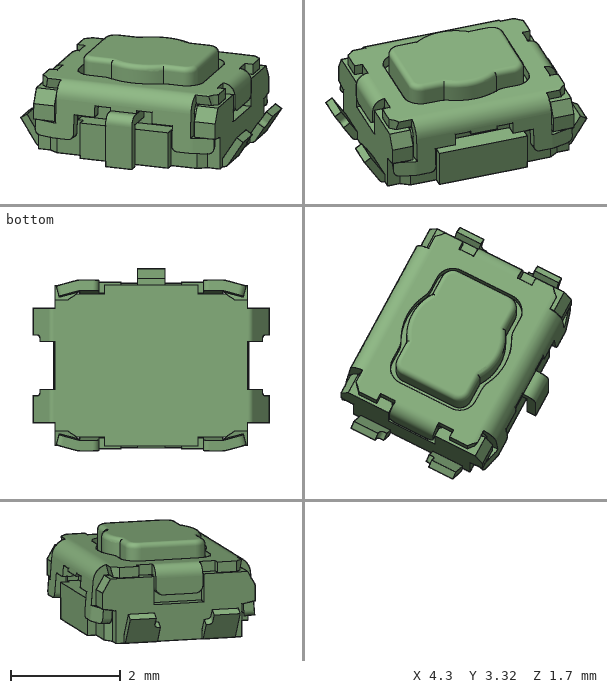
import cadquery as cq
import math

LENGTH_X = 4.3
COVER_TOP = 1.398
CAP_TOP = 1.7
SHEET = 0.195

EDGE_MARGIN = 0.045

BODY_HALF_X = 1.755
BODY_TOP = COVER_TOP - SHEET
WALL_HALF_Y = 1.305
POST_HALF_Y = 1.455
POST_INNER_X = 1.355
POST_BOTTOM = 0.65
POST_CHAMFER_BOTTOM = 0.945
WALL_CHAMFER_BOTTOM = 1.045
WALL_CHAMFER_DEPTH = 0.085
CORNER_CUT_X = 1.52
CORNER_CUT_Y = 1.195
CORNER_CUT_TOP = 0.605
PANEL_HALF_X = 0.85
PANEL_HALF_Y = 1.465
PANEL_TOP = 0.68
RECESS_HALF_Y = 0.475
RECESS_FLOOR_X = 1.555
RECESS_BOTTOM = 0.685
RECESS_FLARE_X = 0.047
RECESS_FLARE_Y = 0.035
POCKET_INNER_Y = 1.095

COVER_HALF_X = 1.7
COVER_CORNER_Y = 1.245
COVER_CORNER_START_Y = 1.115
COVER_CORNER_MIDDLE_X = 1.625
COVER_CORNER_END_X = 1.555
SKIRT_HALF_X = 1.305
SKIRT_HALF_Y = 1.555
SKIRT_BOTTOM = 0.365
SKIRT_TILT = 4.7
SKIRT_BEND_RADIUS = 0.325
SKIRT_CORNER_RADIUS = 0.108
NOTCH_HALF_X = 0.95
NOTCH_TOP = 0.84
UPPER_NOTCH_HALF_X = 0.555
UPPER_NOTCH_TOP = 1.05
TONGUE_BOTTOM = 0.995
WING_ANGLE = 15.0
WING_BEND_RADIUS = 0.225
WING_LENGTH = 0.383
WING_TOP = 0.65
TAB_HALF_X = 1.775
TAB_HALF_Y = 0.447
TAB_BOTTOM = 0.86
TAB_BEND_RADIUS = 0.23
TAB_CORNER_RADIUS = 0.14
SIDE_NOTCH_X = TAB_HALF_X - TAB_BEND_RADIUS
SIDE_NOTCH_HALF_Y = 0.75

CAP_HALF_X = 1.1
CAP_HALF_Y = 0.75
CAP_CORNER_RADIUS = 0.225
CAP_BULGE_RADIUS = 0.905
CAP_EDGE_FILLET = 0.1
OPENING_GAP = 0.105
OPENING_BLEND_RADIUS = 0.345

LEG_SHEET = 0.145
LEG_ANGLE = 57.5
LEG_TIP_Z = 0.507
LEG_OUTER_Y = 1.045
LEG_INNER_Y = 0.55
FOOT_INNER_Y = 0.435
FOOT_BEND_RADIUS = 0.108
FOOT_STEP_LENGTH = 0.232
FOOT_STEP_RADIUS = 0.077
PIN_HALF_X = 0.255
PIN_OUTER_Y = 1.765
PIN_TOP = 0.985
PIN_SHEET = 0.18


def box(x0, x1, y0, y1, z0, z1):
    """Box between two opposite corners."""
    return cq.Workplane("XY").box(x1 - x0, y1 - y0, z1 - z0, centered=False).translate((x0, y0, z0))


def centred_box(half_x, half_y, z0, z1):
    """Box centred on the Z axis."""
    return box(-half_x, half_x, -half_y, half_y, z0, z1)


def along_x(outline, x0, x1):
    """Extrude a closed (y, z) wire from x0 to x1."""
    return outline.extrude(x1 - x0).translate((x0, 0, 0))


def with_mirror(solid, plane):
    return solid.union(solid.mirror(plane))


def corner_post():
    """Post at the +X +Y corner, bevelled on top and sloping underneath."""
    outline = cq.Workplane("YZ").polyline([
        (0, CORNER_CUT_TOP),
        (CORNER_CUT_Y, CORNER_CUT_TOP),
        (POST_HALF_Y, POST_BOTTOM),
        (POST_HALF_Y, POST_CHAMFER_BOTTOM),
        (WALL_HALF_Y, BODY_TOP),
        (0, BODY_TOP),
    ]).close()
    return along_x(outline, POST_INNER_X, BODY_HALF_X)


def make_body():
    plan = [
        (0, 0),
        (BODY_HALF_X, 0),
        (BODY_HALF_X, CORNER_CUT_Y),
        (CORNER_CUT_X, CORNER_CUT_Y),
        (POST_INNER_X, WALL_HALF_Y),
        (0, WALL_HALF_Y),
    ]
    core = cq.Workplane("XY").polyline(plan).close().extrude(BODY_TOP)
    wall_bevel = cq.Workplane("YZ").polyline([
        (WALL_HALF_Y, WALL_CHAMFER_BOTTOM),
        (WALL_HALF_Y, BODY_TOP),
        (WALL_HALF_Y - WALL_CHAMFER_DEPTH, BODY_TOP),
    ]).close()
    core = core.cut(along_x(wall_bevel, 0, POST_INNER_X))
    quarter = core.union(corner_post())
    body = with_mirror(with_mirror(quarter, "YZ"), "XZ")
    body = body.union(centred_box(PANEL_HALF_X, PANEL_HALF_Y, 0, PANEL_TOP))
    recess = box(RECESS_FLOOR_X, BODY_HALF_X, -RECESS_HALF_Y, RECESS_HALF_Y, RECESS_BOTTOM, BODY_TOP)
    flare = cq.Workplane("XY").workplane(offset=RECESS_BOTTOM).polyline([
        (RECESS_FLOOR_X + RECESS_FLARE_X, -RECESS_HALF_Y),
        (RECESS_FLOOR_X, -RECESS_HALF_Y - RECESS_FLARE_Y),
        (RECESS_FLOOR_X, RECESS_HALF_Y + RECESS_FLARE_Y),
        (RECESS_FLOOR_X + RECESS_FLARE_X, RECESS_HALF_Y),
    ]).close().extrude(BODY_TOP - RECESS_BOTTOM)
    pocket = box(-NOTCH_HALF_X, NOTCH_HALF_X, POCKET_INNER_Y, WALL_HALF_Y, PANEL_TOP, BODY_TOP)
    body = body.cut(with_mirror(pocket, "XZ"))
    return body.cut(with_mirror(recess.union(flare), "YZ"))


def bend_centre(outer, bottom, tilt, bend_radius):
    """Centre of a bend that runs tangent into a leaning sheet ending at (outer, bottom)."""
    lean = math.radians(tilt)
    centre_z = COVER_TOP - bend_radius
    centre = outer + ((bottom - centre_z) * math.sin(lean) - bend_radius) / math.cos(lean)
    return centre, centre_z


def bent_sheet(plane, outer, bottom, tilt, bend_radius):
    """Half section of the sheet: flat on top, bent down to the point (outer, bottom)."""
    lean = math.radians(tilt)
    normal = (math.cos(lean), math.sin(lean))
    centre, centre_z = bend_centre(outer, bottom, tilt, bend_radius)
    inner_radius = bend_radius - SHEET
    half_bend = (math.pi / 2 + lean) / 2

    def on_bend(radius, angle):
        return (centre + radius * math.cos(angle), centre_z + radius * math.sin(angle))

    return (
        cq.Workplane(plane)
        .moveTo(0, COVER_TOP)
        .lineTo(centre, COVER_TOP)
        .threePointArc(on_bend(bend_radius, lean + half_bend), on_bend(bend_radius, lean))
        .lineTo(outer, bottom)
        .lineTo(outer - SHEET * normal[0], bottom - SHEET * normal[1])
        .lineTo(*on_bend(inner_radius, lean))
        .threePointArc(on_bend(inner_radius, lean + half_bend), (centre, BODY_TOP))
        .lineTo(0, BODY_TOP)
        .close()
    )


def skirt_profile():
    return bent_sheet("YZ", SKIRT_HALF_Y, SKIRT_BOTTOM, SKIRT_TILT, SKIRT_BEND_RADIUS)


def flat_top_limits():
    """Space of the +Y half of the flat top, with bevelled corners.

    Beside the skirt the sheet ends part-way round the bend, square to its surface.
    """
    centre_y, centre_z = bend_centre(SKIRT_HALF_Y, SKIRT_BOTTOM, SKIRT_TILT, SKIRT_BEND_RADIUS)
    half_plan = [
        (0, 0),
        (COVER_HALF_X, 0),
        (COVER_HALF_X, COVER_CORNER_START_Y),
        (COVER_CORNER_MIDDLE_X, centre_y),
        (COVER_CORNER_END_X, COVER_CORNER_Y),
        (0, COVER_CORNER_Y),
    ]
    plan = cq.Workplane("XY").polyline(half_plan).close().extrude(COVER_TOP)
    end_y = COVER_CORNER_Y - centre_y
    end_z = math.sqrt(SKIRT_BEND_RADIUS ** 2 - end_y ** 2)
    reach = SKIRT_BEND_RADIUS / end_z
    up_to_bend = cq.Workplane("YZ").polyline([
        (0, centre_z),
        (centre_y, centre_z),
        (centre_y + reach * end_y, COVER_TOP),
        (0, COVER_TOP),
    ]).close()
    return with_mirror(plan.intersect(along_x(up_to_bend, 0, COVER_HALF_X)), "YZ")


def long_side():
    """+Y half of the flat top with its skirt, notched along the lower edge."""
    sheet = along_x(skirt_profile(), -COVER_HALF_X, COVER_HALF_X)
    skirt_limits = centred_box(SKIRT_HALF_X, SKIRT_HALF_Y, 0, COVER_TOP)
    notch = centred_box(NOTCH_HALF_X, SKIRT_HALF_Y, 0, NOTCH_TOP)
    upper_notch = centred_box(UPPER_NOTCH_HALF_X, SKIRT_HALF_Y, 0, UPPER_NOTCH_TOP)
    tongue = centred_box(PIN_HALF_X, SKIRT_HALF_Y, TONGUE_BOTTOM, COVER_TOP)
    side = sheet.intersect(flat_top_limits().union(skirt_limits))
    side = side.cut(notch).cut(upper_notch.cut(tongue))
    foot_corners = cq.selectors.BoxSelector(
        (-NOTCH_HALF_X - EDGE_MARGIN, 0, 0),
        (NOTCH_HALF_X + EDGE_MARGIN, SKIRT_HALF_Y, SKIRT_BOTTOM + EDGE_MARGIN),
    )
    return side.edges(foot_corners).fillet(SKIRT_CORNER_RADIUS)


def wing():
    """Lower flap of the skirt at the +X +Y corner, folded in around the body."""
    lean = math.radians(SKIRT_TILT)
    height = WING_TOP - SKIRT_BOTTOM
    outer_top = (SKIRT_HALF_Y - height * math.tan(lean), WING_TOP)
    inward = (-SHEET * math.cos(lean), -SHEET * math.sin(lean))
    section = [
        (SKIRT_HALF_Y, SKIRT_BOTTOM),
        outer_top,
        (outer_top[0] + inward[0], outer_top[1] + inward[1]),
        (SKIRT_HALF_Y + inward[0], SKIRT_BOTTOM + inward[1]),
    ]
    fold_y = SKIRT_HALF_Y - WING_BEND_RADIUS
    fold = cq.Workplane("YZ").polyline(section).close()
    fold = fold.revolve(WING_ANGLE, (fold_y, 0.045, 0), (fold_y, 0, 0)).translate((SKIRT_HALF_X, 0, 0))
    flap = along_x(cq.Workplane("YZ").polyline(section).close(), SKIRT_HALF_X, SKIRT_HALF_X + WING_LENGTH)
    flap = flap.faces(">X").edges("<Z").fillet(SKIRT_CORNER_RADIUS)
    flap = flap.rotate((SKIRT_HALF_X, fold_y, 0), (SKIRT_HALF_X, fold_y, 1), -WING_ANGLE)
    return fold.union(flap)


def side_tab():
    """Tab of the +X side, with the bend and the rounded lower corners."""
    profile = bent_sheet("XZ", TAB_HALF_X, TAB_BOTTOM, 0, TAB_BEND_RADIUS)
    tab = profile.extrude(TAB_HALF_Y, both=True)
    tab = tab.intersect(box(SIDE_NOTCH_X, TAB_HALF_X, -TAB_HALF_Y, TAB_HALF_Y, 0, COVER_TOP))
    return tab.faces("<Z").edges("|X").fillet(TAB_CORNER_RADIUS)


def make_cover():
    cover = with_mirror(long_side(), "XZ")
    side_notch = box(
        SIDE_NOTCH_X, TAB_HALF_X, -SIDE_NOTCH_HALF_Y, SIDE_NOTCH_HALF_Y, BODY_TOP, COVER_TOP
    )
    cover = cover.cut(with_mirror(side_notch, "YZ"))
    cover = cover.union(with_mirror(side_tab(), "YZ"))
    cover = cover.union(with_mirror(with_mirror(wing(), "YZ"), "XZ"))
    return cover.cut(button_opening())


def button_block(offset, bottom, top):
    """Rounded block with a round bulge on both long sides, grown by offset."""
    height = top - bottom
    block = centred_box(CAP_HALF_X + offset, CAP_HALF_Y + offset, bottom, top)
    block = block.edges("|Z").fillet(CAP_CORNER_RADIUS + offset)
    bulge = cq.Workplane("XY").workplane(offset=bottom).circle(CAP_BULGE_RADIUS + offset).extrude(height)
    return block.union(bulge)


def button_opening():
    opening = button_block(OPENING_GAP, BODY_TOP, COVER_TOP)
    half_y = CAP_HALF_Y + OPENING_GAP
    bulge_edge_x = math.sqrt((CAP_BULGE_RADIUS + OPENING_GAP) ** 2 - half_y ** 2)
    reentrant = cq.selectors.BoxSelector(
        (-bulge_edge_x - EDGE_MARGIN, -half_y - EDGE_MARGIN, 0),
        (bulge_edge_x + EDGE_MARGIN, half_y + EDGE_MARGIN, COVER_TOP),
    )
    return opening.edges("|Z").edges(reentrant).fillet(OPENING_BLEND_RADIUS)


def make_cap():
    return button_block(0, BODY_TOP, CAP_TOP).faces(">Z").edges().fillet(CAP_EDGE_FILLET)


def side_terminal():
    """Bent terminal at the +X +Y corner, with a narrow tip and a wider foot."""
    slope = math.radians(LEG_ANGLE)
    tip_x = LENGTH_X / 2
    bend_x = tip_x - LEG_TIP_Z / math.tan(slope)
    inner_bend_x = bend_x - LEG_SHEET * math.tan(slope / 2)
    width = LEG_OUTER_Y - FOOT_INNER_Y
    profile = cq.Workplane("XZ").polyline([
        (RECESS_FLOOR_X, 0),
        (bend_x, 0),
        (tip_x, LEG_TIP_Z),
        (tip_x - LEG_SHEET * math.sin(slope), LEG_TIP_Z + LEG_SHEET * math.cos(slope)),
        (inner_bend_x, LEG_SHEET),
        (RECESS_FLOOR_X, LEG_SHEET),
    ]).close()
    leg = profile.extrude(-width).translate((0, FOOT_INNER_Y, 0))
    on_bend_line = cq.selectors.NearestToPointSelector((bend_x, LEG_OUTER_Y - width / 2, 0))
    leg = leg.edges("|Y").edges(on_bend_line).fillet(FOOT_BEND_RADIUS)

    down_leg = (-math.cos(slope), 0, -math.sin(slope))
    into_sheet = (-math.sin(slope), 0, math.cos(slope))
    leg_face = cq.Plane(origin=(tip_x, FOOT_INNER_Y, LEG_TIP_Z), xDir=down_leg, normal=into_sheet)
    step_depth = LEG_INNER_Y - FOOT_INNER_Y
    step = (
        cq.Workplane(leg_face)
        .lineTo(FOOT_STEP_LENGTH, 0)
        .lineTo(FOOT_STEP_LENGTH, -step_depth + FOOT_STEP_RADIUS)
        .radiusArc((FOOT_STEP_LENGTH - FOOT_STEP_RADIUS, -step_depth), FOOT_STEP_RADIUS)
        .lineTo(0, -step_depth)
        .close()
        .extrude(LEG_SHEET)
    )
    return leg.cut(step)


def centre_pin():
    """Pin leaving the -Y wall and bent straight down to the base plane."""
    arm = box(-PIN_HALF_X, PIN_HALF_X, -PIN_OUTER_Y, -POCKET_INNER_Y, PIN_TOP - PIN_SHEET, PIN_TOP)
    drop = box(-PIN_HALF_X, PIN_HALF_X, -PIN_OUTER_Y, PIN_SHEET - PIN_OUTER_Y, 0, PIN_TOP)
    return arm.union(drop).edges("|X and <Y and >Z").fillet(PIN_SHEET)


terminals = with_mirror(with_mirror(side_terminal(), "YZ"), "XZ")
switch = make_body().union(make_cover()).union(make_cap())
result = switch.union(terminals).union(centre_pin()).clean()